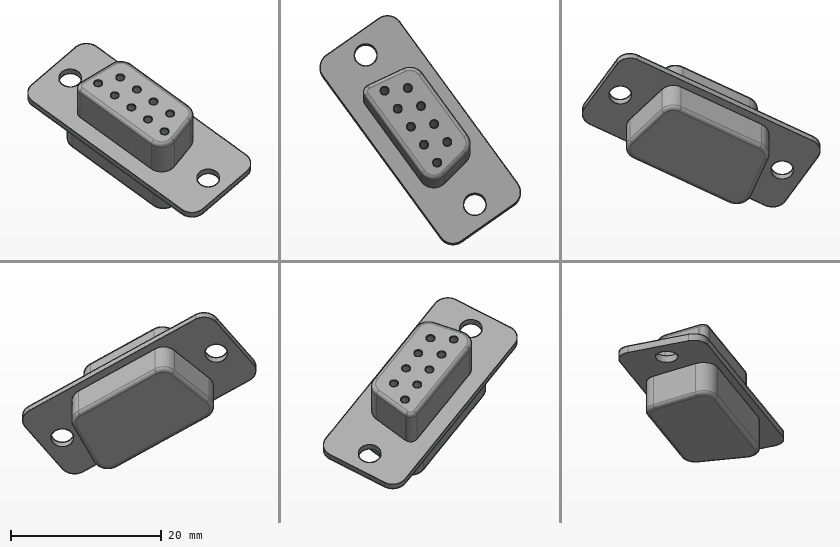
import cadquery as cq
import math

flange_length = 31.0
flange_width = 12.6
flange_thickness = 1.0
flange_corner_radius = 1.98
mount_hole_diameter = 3.0
mount_hole_spacing = 25.0

side_angle = 10.0
shell_corner_radius = 2.0
shell_edge_radius = 0.53

upper_height = 5.8
upper_depth = 8.0
upper_wide_flat = 11.72

lower_height = 4.8
lower_depth = 10.5
lower_wide_flat = 14.7

tight_corner_radius = 1.0
tight_corner_flat = 0.2

contact_pitch = 3.0
contact_row_spacing = 2.73
contact_centre_x = -0.05
contact_centre_y = -0.12
wide_row_count = 5
narrow_row_count = 4
socket_diameter = 1.0
socket_rim_chamfer = 0.1
socket_depth = upper_height

lean = math.radians(side_angle)


def d_outline(depth, wide_flat, z, tight_left_corner=False):
    """Rounded trapezoid; one radius all round unless the wide left corner is tight."""
    radius = shell_corner_radius
    centre_y = depth / 2 - radius
    wide_x = wide_flat / 2
    narrow_x = wide_x - 2 * centre_y * math.tan(lean)

    side_dx = radius * math.cos(lean)
    side_dy = radius * math.sin(lean)
    narrow_side_x = narrow_x + side_dx
    narrow_side_y = centre_y + side_dy
    wide_side_x = wide_x + side_dx
    wide_side_y = -centre_y + side_dy

    narrow_bisector = math.radians(90 + side_angle) / 2
    narrow_mid_x = narrow_x + radius * math.cos(narrow_bisector)
    narrow_mid_y = centre_y + radius * math.sin(narrow_bisector)
    wide_bisector = math.radians(90 - side_angle) / 2
    wide_mid_x = wide_x + radius * math.cos(wide_bisector)
    wide_mid_y = -centre_y - radius * math.sin(wide_bisector)

    outline = (
        cq.Workplane("XY", origin=(0, 0, z))
        .moveTo(wide_x, -depth / 2)
        .threePointArc((wide_mid_x, wide_mid_y), (wide_side_x, wide_side_y))
        .lineTo(narrow_side_x, narrow_side_y)
        .threePointArc((narrow_mid_x, narrow_mid_y), (narrow_x, depth / 2))
        .lineTo(-narrow_x, depth / 2)
        .threePointArc((-narrow_mid_x, narrow_mid_y), (-narrow_side_x, narrow_side_y))
    )
    if tight_left_corner:
        arc_start_y = -depth / 2 + tight_corner_radius
        bend_y = arc_start_y + tight_corner_flat
        bend_x = -narrow_side_x - (narrow_side_y - bend_y) * math.tan(lean)
        return (
            outline.lineTo(bend_x, bend_y)
            .lineTo(bend_x, arc_start_y)
            .radiusArc((bend_x + tight_corner_radius, -depth / 2), -tight_corner_radius)
            .close()
        )
    return (
        outline.lineTo(-wide_side_x, wide_side_y)
        .threePointArc((-wide_mid_x, wide_mid_y), (-wide_x, -depth / 2))
        .close()
    )


def make_flange():
    return (
        cq.Workplane("XY")
        .box(flange_length, flange_width, flange_thickness, centered=(True, True, False))
        .translate((0, 0, -flange_thickness))
        .edges("|Z")
        .fillet(flange_corner_radius)
        .faces(">Z")
        .workplane()
        .pushPoints([(-mount_hole_spacing / 2, 0), (mount_hole_spacing / 2, 0)])
        .hole(mount_hole_diameter)
    )


def make_upper_shell():
    shell = d_outline(upper_depth, upper_wide_flat, 0, tight_left_corner=True).extrude(upper_height)
    return shell.faces(">Z").edges().fillet(shell_edge_radius)


def make_lower_shell():
    shell = d_outline(lower_depth, lower_wide_flat, -flange_thickness).extrude(-lower_height)
    return shell.faces("<Z").edges().fillet(shell_edge_radius)


def contact_row(count, y):
    """Centres of one row of evenly pitched contacts."""
    first_x = contact_centre_x - contact_pitch * (count - 1) / 2
    return [(first_x + i * contact_pitch, y) for i in range(count)]


def make_sockets():
    """Blind sockets with a flared rim, as solids to cut away."""
    centres = contact_row(wide_row_count, contact_centre_y - contact_row_spacing / 2)
    centres += contact_row(narrow_row_count, contact_centre_y + contact_row_spacing / 2)
    bore_radius = socket_diameter / 2
    rim_radius = bore_radius + socket_rim_chamfer
    socket = (
        cq.Workplane("XZ")
        .polyline([
            (0, upper_height),
            (rim_radius, upper_height),
            (bore_radius, upper_height - socket_rim_chamfer),
            (bore_radius, upper_height - socket_depth),
            (0, upper_height - socket_depth),
        ])
        .close()
        .revolve(360, (0, 0, 0), (0, 1, 0))
        .val()
    )
    return cq.Workplane("XY").pushPoints(centres).eachpoint(lambda place: socket.moved(place))


body = make_flange().union(make_upper_shell()).union(make_lower_shell())
result = body.cut(make_sockets())